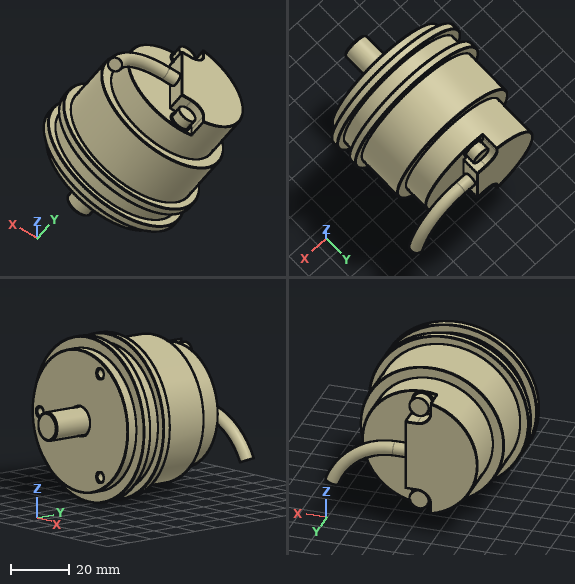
import cadquery as cq
import math


shaft_radius = 5.0
shaft_recess_radius = 5.3
shaft_recess_depth = 1.0
shaft_length = 15.0
shaft_chamfer = 0.4

edge_chamfer = 0.2
spigot_radius = 25.0
body_radius = 26.0
flange_radius = 29.0
cap_radius = 22.0
front_flange_start = 4.0
flange_thickness = 3.0
flange_gap = 6.0
rear_body_length = 18.0
ledge_height = 10.0
rear_flange_start = front_flange_start + flange_thickness + flange_gap
body_end = rear_flange_start + flange_thickness + rear_body_length
ledge_end = body_end + ledge_height
block_height = 7.0
block_end = ledge_end + block_height

mount_circle_radius = 21.0
mount_hole_radius = 1.65
mount_hole_depth = 6.0
mount_countersink_radius = 2.0
drill_point_angle = 118
mount_hole_count = 3

screw_offset = 18.0
screw_head_radius = 3.45
screw_head_height = 4.0
washer_radius = 3.85
washer_thickness = 0.4
relief_radius = 5.05
block_side = 4.1

cable_diameter = 5.0
cable_y = ledge_end + block_height / 2
cable_bend_start = 9.05
cable_bend_radius = 23.65
cable_bend_angle = math.radians(70)
cable_rise = math.radians(5.7)


def disc(radius, start, end):
    """Cylinder on the part axis between two Y positions."""
    return cq.Workplane("XZ", origin=(0, start, 0)).circle(radius).extrude(start - end)


def make_housing():
    housing = disc(spigot_radius, 0, front_flange_start).faces("<Y").chamfer(edge_chamfer)
    body = disc(body_radius, front_flange_start, body_end).faces(">Y").chamfer(edge_chamfer)
    housing = housing.union(body)
    for start in (front_flange_start, rear_flange_start):
        flange = disc(flange_radius, start, start + flange_thickness).edges().chamfer(edge_chamfer)
        housing = housing.union(flange)
    cap = disc(cap_radius, body_end, ledge_end).faces(">Y").chamfer(edge_chamfer)
    recess = disc(shaft_recess_radius, 0, shaft_recess_depth)
    return housing.union(cap).cut(recess)


def make_shaft():
    return disc(shaft_radius, -shaft_length, shaft_recess_depth).faces("<Y").chamfer(shaft_chamfer)


def make_terminal_block():
    """Rear part of the cap, cut back to clear the two screws.

    It starts at the body so that the ledge chamfer stays open only where the block is cut back.
    """
    floor_z = screw_offset - relief_radius
    diagonal = relief_radius * math.sqrt(0.5)
    outer = body_radius
    block = (
        cq.Workplane("XZ", origin=(0, body_end, 0))
        .moveTo(-outer, outer)
        .lineTo(-relief_radius, outer)
        .lineTo(-relief_radius, screw_offset)
        .threePointArc((-diagonal, screw_offset - diagonal), (0, floor_z))
        .lineTo(block_side, floor_z)
        .lineTo(block_side, -floor_z)
        .lineTo(0, -floor_z)
        .threePointArc((-diagonal, diagonal - screw_offset), (-relief_radius, -screw_offset))
        .lineTo(-relief_radius, -outer)
        .lineTo(-outer, -outer)
        .close()
        .extrude(body_end - block_end)
    )
    return block.intersect(disc(cap_radius, body_end, block_end)).faces(">Y").chamfer(edge_chamfer)


def make_screw(z):
    base = cq.Workplane("XZ", origin=(0, ledge_end, z))
    washer = base.circle(washer_radius).extrude(-washer_thickness)
    head = base.circle(screw_head_radius).extrude(-washer_thickness - screw_head_height)
    return washer.union(head)


def make_cable():
    """Straight lead followed by one bend that turns to -Z and rises slightly to +Y."""

    def bend_point(angle):
        drop = cable_bend_radius * (1 - math.cos(angle))
        return (
            cable_bend_start + cable_bend_radius * math.sin(angle),
            cable_y + drop * math.sin(cable_rise),
            -drop * math.cos(cable_rise),
        )

    path = (
        cq.Workplane("XY")
        .moveTo(0, cable_y)
        .lineTo(cable_bend_start, cable_y)
        .threePointArc(bend_point(cable_bend_angle / 2), bend_point(cable_bend_angle))
    )
    return cq.Workplane("YZ", origin=(0, cable_y, 0)).circle(cable_diameter / 2).sweep(path)


def make_mount_hole():
    """Countersunk blind hole with a drill point, on the part axis."""
    countersink_depth = mount_countersink_radius - mount_hole_radius
    point_depth = mount_hole_radius / math.tan(math.radians(drill_point_angle / 2))
    return (
        cq.Workplane("XY")
        .moveTo(0, 0)
        .lineTo(mount_countersink_radius, 0)
        .lineTo(mount_hole_radius, countersink_depth)
        .lineTo(mount_hole_radius, mount_hole_depth)
        .lineTo(0, mount_hole_depth + point_depth)
        .close()
        .revolve(360, (0, 0, 0), (0, 1, 0))
    )


result = make_housing().union(make_shaft()).union(make_terminal_block()).union(make_cable())

for side in (1, -1):
    result = result.union(make_screw(side * screw_offset))

for index in range(mount_hole_count):
    angle = math.pi + index * 2 * math.pi / mount_hole_count
    position = (mount_circle_radius * math.cos(angle), 0, mount_circle_radius * math.sin(angle))
    result = result.cut(make_mount_hole().translate(position))